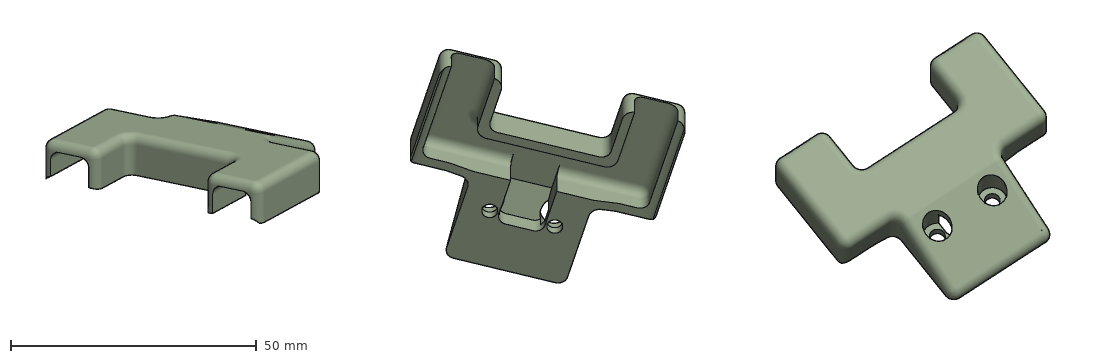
import cadquery as cq
import math

width = 52.0
depth = 44.25
height = 8.65

body_depth = 24.75
slot_depth = 12.2
tab_width = 25.65
tab_edge_height = 1.7
tab_top_y = 26.8

wall = 2.05
rounding = wall

tab_pocket_width = 9.8
tab_pocket_end_y = 33.3

hole_diameter = 3.2
counterbore_diameter = 6.0
hole_spacing = 13.8
hole_y = 31.1
counterbore_floor = wall

relief_height = 1.05
relief_arc_end = 2.2
relief_flat_end = 8.0
relief_end = 13.2

half_width = width / 2
half_tab = tab_width / 2
slope_gradient = (height - tab_edge_height) / (depth - tab_top_y)
cavity_height = height - wall


def above_tab_slope(drop):
    """Everything above a plane parallel to the tab slope and lowered vertically by drop."""
    rear_y = depth + wall
    front_z = height - drop + slope_gradient * tab_top_y
    rear_z = front_z - slope_gradient * rear_y
    return (
        cq.Workplane("YZ")
        .polyline([(0, front_z), (rear_y, rear_z), (rear_y, front_z)])
        .close()
        .extrude(half_width, both=True)
    )


def outer_shape():
    """Rounded solid before it is hollowed."""
    solid = (
        cq.Workplane("XY")
        .polyline([
            (-half_width, 0), (-half_tab, 0), (-half_tab, slot_depth), (half_tab, slot_depth),
            (half_tab, 0), (half_width, 0), (half_width, body_depth), (half_tab, body_depth),
            (half_tab, depth), (-half_tab, depth), (-half_tab, body_depth), (-half_width, body_depth),
        ])
        .close()
        .extrude(height)
        .edges("|Z")
        .fillet(rounding)
        .cut(above_tab_slope(0))
    )
    solid = solid.faces(">Z").edges(">Y").fillet(rounding)
    return solid.faces(">Z").edges("<Y").fillet(rounding)


def body_cavity():
    """Hollow of the body and legs, open below and through the front of both legs."""
    outer_x = half_width - wall
    inner_x = half_tab + wall
    front_y = -2 * rounding
    slot_y = slot_depth + wall
    rear_y = body_depth - wall
    return (
        cq.Workplane("XY")
        .polyline([
            (-outer_x, front_y), (-inner_x, front_y), (-inner_x, slot_y), (inner_x, slot_y),
            (inner_x, front_y), (outer_x, front_y), (outer_x, rear_y), (-outer_x, rear_y),
        ])
        .close()
        .extrude(cavity_height)
        .edges("|Z")
        .fillet(rounding)
        .faces(">Z")
        .edges()
        .fillet(rounding)
    )


def tab_pocket():
    """Hollow under the tab that opens into the body cavity, with a roof parallel to the slope."""
    front_y = slot_depth + 2 * wall
    roof_drop = wall * math.hypot(1, slope_gradient)
    return (
        cq.Workplane("XY")
        .rect(tab_pocket_width, tab_pocket_end_y - front_y)
        .extrude(cavity_height)
        .translate((0, (front_y + tab_pocket_end_y) / 2, 0))
        .edges("|Z and >Y")
        .fillet(rounding)
        .cut(above_tab_slope(roof_drop))
    )


def screw_holes():
    """Through holes with counterbores, entering from the tab slope."""
    points = [(-hole_spacing / 2, hole_y), (hole_spacing / 2, hole_y)]
    holes = cq.Workplane("XY").pushPoints(points).circle(hole_diameter / 2).extrude(height)
    counterbores = (
        cq.Workplane("XY", origin=(0, 0, counterbore_floor))
        .pushPoints(points)
        .circle(counterbore_diameter / 2)
        .extrude(height)
    )
    return holes.union(counterbores)


def underside_relief():
    """Shallow channel below the left leg: rounded outer side, flat roof, ramp on the inner side."""
    arc_rise = rounding - relief_height
    arc_start = relief_arc_end - math.sqrt(rounding ** 2 - arc_rise ** 2)
    return (
        cq.Workplane("XZ", origin=(-half_width, 0, 0))
        .moveTo(relief_end, 0)
        .lineTo(relief_flat_end, relief_height)
        .lineTo(relief_arc_end, relief_height)
        .tangentArcPoint((arc_start, 0), relative=False)
        .close()
        .extrude(-depth)
    )


left_relief = underside_relief()
result = (
    outer_shape()
    .cut(body_cavity())
    .cut(tab_pocket())
    .cut(screw_holes())
    .cut(left_relief)
    .cut(left_relief.mirror("YZ"))
)